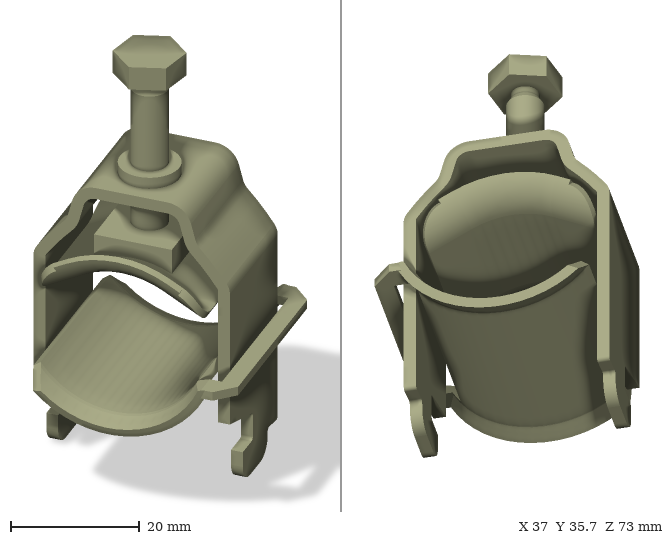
import cadquery as cq
import math


far = 145.9
near = 0.1

sheet = 2.0
bracket_half_width = 16.4
bracket_front = -7.5
bracket_back = 12.5
bracket_top = 51.2
top_half_width = 9.1
neck_half_width = 10.9
neck_z = 44.65
shoulder_z = 37.9
shoulder_bulge = 0.2
top_bend_radius = 4.1
bend_radius = 1.5 * sheet

collar_diameter = 9.9
collar_height = 2.0

hook_back = 8.3
hook_front = -2.1
hook_radius = 3.1
hook_tip_z = 5.7
slot_back = 2.1
slot_top_z = 10.5
slot_top_radius = 0.7
slot_bottom_radius = 0.5
front_corner_z = 13.6
heel_outer_z = 3.8
heel_inner_z = 4.45
heel_radius = 0.6

bolt_diameter = 6.0
bolt_top = 72.95
head_height = 4.0
head_across_flats = 10.0
head_turn = 78
neck_diameter = 4.5
neck_height = 1.0
taper_height = 1.3

pad_length = 13.0
pad_width = 14.0
pad_top = 42.5
saddle_thickness = 1.2
saddle_bottom = 38.5
crown_radius = 13.85
flank_angle = 28
flank_length = 7.65
rim_bend_start = 8.5
rim_bend_radius = 5.55
rim_bend_angle = 75
plate_corner_radius = 5.25

trough_thickness = 1.5
trough_radius = 15.5
trough_center_z = 31.6
trough_length = 35.7
flare_start = 14.8
flare_angle = 20
flare_inner_bend = 0.4
trough_end_angle = 36.5
corner_bevel = 3.35
yoke_top = 25.0
yoke_end = 20.6
yoke_start = 14.2
yoke_half_width = 17.5
yoke_chamfer = 3.1
lip_start = 15.6
lip_angle = 18
window_half_width = 13.9
window_end = 17.65


def fillet_level(body, direction, z, radius):
    """Round the edges parallel to the given axis that lie at height z."""
    level = cq.selectors.BoxSelector((-far, -far, z - near), (far, far, z + near))
    return body.edges("|" + direction).edges(level).fillet(radius)


def arch_strip():
    """Bent strip of constant thickness, open at the foot."""
    slope_x = bracket_half_width - neck_half_width
    slope_z = neck_z - shoulder_z
    slope_length = math.hypot(slope_x, slope_z)
    bow_x = (bracket_half_width + neck_half_width) / 2 + shoulder_bulge * slope_z / slope_length
    bow_z = (shoulder_z + neck_z) / 2 + shoulder_bulge * slope_x / slope_length
    depth = bracket_back - bracket_front
    outer = (
        cq.Workplane("XZ", origin=(0, bracket_back, 0))
        .moveTo(bracket_half_width, -sheet)
        .lineTo(bracket_half_width, shoulder_z)
        .threePointArc((bow_x, bow_z), (neck_half_width, neck_z))
        .lineTo(top_half_width, bracket_top)
        .lineTo(-top_half_width, bracket_top)
        .lineTo(-neck_half_width, neck_z)
        .threePointArc((-bow_x, bow_z), (-bracket_half_width, shoulder_z))
        .lineTo(-bracket_half_width, -sheet)
        .close()
        .extrude(depth)
    )
    outer = fillet_level(outer, "Y", bracket_top, top_bend_radius)
    outer = fillet_level(outer, "Y", neck_z, bend_radius)
    outer = fillet_level(outer, "Y", shoulder_z, bend_radius)
    inner = outer.faces("<Y").wires().toPending().offset2D(-sheet).extrude(-depth, combine=False)
    return outer.cut(inner)


def leg_outline():
    """Side outline of the bracket with its hook, as a block across both legs."""
    points = [
        (bracket_back, bracket_top),
        (bracket_back, heel_outer_z),
        (hook_back, heel_inner_z),
        (hook_back, 0),
        (hook_front, 0),
        (hook_front, hook_tip_z),
        (slot_back, hook_tip_z),
        (slot_back, slot_top_z),
        (bracket_front, front_corner_z),
        (bracket_front, bracket_top),
    ]
    block = cq.Workplane("YZ").polyline(points).close().extrude(bracket_half_width, both=True)
    block = fillet_level(block, "X", 0, hook_radius)
    block = fillet_level(block, "X", heel_outer_z, heel_radius)
    block = fillet_level(block, "X", heel_inner_z, heel_radius)
    block = fillet_level(block, "X", slot_top_z, slot_top_radius)
    slot_corner = cq.selectors.NearestToPointSelector((0, slot_back, hook_tip_z))
    return block.edges("|X").edges(slot_corner).fillet(slot_bottom_radius)


def make_bracket():
    body = arch_strip().intersect(leg_outline())
    collar = (
        cq.Workplane(origin=(0, 0, bracket_top))
        .circle(collar_diameter / 2)
        .extrude(collar_height)
    )
    bolt_hole = (
        cq.Workplane(origin=(0, 0, bracket_top - 2 * sheet))
        .circle(bolt_diameter / 2)
        .extrude(2 * sheet + collar_height)
    )
    return body.union(collar).cut(bolt_hole)


def make_bolt():
    head_z = bolt_top - head_height
    neck_z0 = head_z - neck_height
    taper_z = neck_z0 - taper_height
    half_section = [
        (0, pad_top),
        (bolt_diameter / 2, pad_top),
        (bolt_diameter / 2, taper_z),
        (neck_diameter / 2, neck_z0),
        (neck_diameter / 2, head_z),
        (0, head_z),
    ]
    shank = cq.Workplane("XZ").polyline(half_section).close().revolve(360, (0, 0), (0, 1))
    corner_diameter = head_across_flats / math.cos(math.pi / 6)
    head = (
        cq.Workplane(origin=(0, 0, head_z))
        .polygon(6, corner_diameter)
        .extrude(head_height)
        .rotate((0, 0, 0), (0, 0, 1), head_turn)
    )
    return shank.union(head)


def sheet_section():
    """Section of the saddle plate across the cable axis, with its upturned rim on the +Y side."""
    bend_z = saddle_bottom + rim_bend_radius

    def on_bend(radius, angle):
        turn = math.radians(angle)
        return (rim_bend_start + radius * math.sin(turn), bend_z - radius * math.cos(turn))

    outer = rim_bend_radius
    inner = rim_bend_radius - saddle_thickness
    return (
        cq.Workplane("YZ")
        .moveTo(0, saddle_bottom)
        .lineTo(rim_bend_start, saddle_bottom)
        .threePointArc(on_bend(outer, rim_bend_angle / 2), on_bend(outer, rim_bend_angle))
        .lineTo(*on_bend(inner, rim_bend_angle))
        .threePointArc(on_bend(inner, rim_bend_angle / 2), on_bend(inner, 0))
        .lineTo(0, saddle_bottom + saddle_thickness)
        .close()
    )


def plate_corner():
    """Waste outside the rounded corner of a flank, cut square to the sheet halfway up the bend."""
    turn = math.radians(rim_bend_angle / 2)
    inward_normal = (0, -math.sin(turn), math.cos(turn))
    bend_middle = (0, rim_bend_start, saddle_bottom + rim_bend_radius)
    plane = cq.Plane(origin=bend_middle, xDir=(1, 0, 0), normal=inward_normal)
    inner_radius = rim_bend_radius - saddle_thickness
    rim_edge = inner_radius * math.sin(turn)
    radius = plate_corner_radius
    corner = (
        cq.Workplane(plane)
        .center(flank_length - radius, rim_edge - radius)
        .rect(2 * radius, 2 * radius, centered=False)
        .extrude(-2 * radius)
    )
    rounding = (
        cq.Workplane(plane)
        .center(flank_length - radius, rim_edge - radius)
        .circle(radius)
        .extrude(-2 * radius)
    )
    return corner.cut(rounding)


def saddle_plate():
    """Plate with a rounded crown, two straight sloping flanks and both Y ends turned up."""
    center_z = saddle_bottom - crown_radius
    axis_start = (0, 0, center_z)
    axis_end = (0, 1, center_z)
    crown = sheet_section().revolve(flank_angle, (0, center_z), (1, center_z))
    flank = (
        sheet_section()
        .extrude(flank_length)
        .cut(plate_corner())
        .rotate(axis_start, axis_end, flank_angle)
    )
    quarter = crown.union(flank)
    half = quarter.union(quarter.mirror("XZ"))
    return half.union(half.mirror("YZ"))


def make_saddle():
    """Plate with the pressure pad that stands on its crown."""
    center_z = saddle_bottom - crown_radius
    pad = (
        cq.Workplane(origin=(0, 0, center_z))
        .rect(pad_length, pad_width)
        .extrude(pad_top - center_z)
    )
    below_crown = (
        cq.Workplane("XZ", origin=(0, 0, center_z))
        .circle(crown_radius + saddle_thickness)
        .extrude(pad_width, both=True)
    )
    return saddle_plate().union(pad.cut(below_crown))


def revolve_about_trough(points):
    """Revolve a (Y, radius) outline about the trough axis."""
    plane = cq.Workplane("YZ", origin=(0, 0, trough_center_z))
    return plane.polyline(points).close().revolve(360, (0, 0), (1, 0))


def mirrored_ends(half):
    """Complete a (Y, radius) outline with its mirror image at -Y."""
    return half + [(-y, radius) for y, radius in reversed(half)]


def flared_ring():
    """Complete tube with flared ends, and the solid core that fills it."""
    flare = math.radians(flare_angle)
    end_y = trough_length / 2
    end_radius = trough_radius + (end_y - flare_start) * math.tan(flare)
    inner = [(flare_start, trough_radius), (end_y, end_radius)]
    outer = [
        (flare_start - trough_thickness * math.tan(flare / 2), trough_radius + trough_thickness),
        (end_y - trough_thickness * math.sin(flare), end_radius + trough_thickness * math.cos(flare)),
    ]
    core = revolve_about_trough(mirrored_ends([(end_y, 0), inner[1], inner[0]]))
    envelope = revolve_about_trough(mirrored_ends([(end_y, 0), inner[1], outer[1], outer[0]]))
    core_bends = cq.selectors.RadiusNthSelector(0)
    core = core.edges("%CIRCLE").edges(core_bends).fillet(flare_inner_bend + trough_thickness)
    envelope_bends = cq.selectors.BoxSelector((-far, -flare_start, -far), (far, flare_start, far))
    envelope = envelope.edges("%CIRCLE").edges(envelope_bends).fillet(flare_inner_bend)
    return envelope, core


def side_wedge(side, length):
    """Sector above the trough's side edge, out to one side in X."""
    reach = 2 * trough_radius
    drop = reach * math.tan(math.radians(trough_end_angle))
    return (
        cq.Workplane("XZ", origin=(0, 0, trough_center_z))
        .polyline([(0, 0), (side * reach, -drop), (side * reach, reach), (0, reach)])
        .close()
        .extrude(length / 2, both=True)
    )


def corner_cut(end):
    """Bevel across one free corner of the trough, cut radially; its second axis runs down the arc."""
    slope = math.radians(trough_end_angle)
    radial = (-math.cos(slope), 0, -math.sin(slope))
    plane = cq.Plane(origin=(0, 0, trough_center_z), xDir=(0, 1, 0), normal=radial)
    along_edge = end * trough_length / 2
    bevel_start = along_edge - end * corner_bevel
    return (
        cq.Workplane(plane)
        .polyline([(bevel_start, 0), (along_edge, 0), (along_edge, corner_bevel)])
        .close()
        .extrude(2 * trough_radius)
    )


def yoke():
    """Flat U-shaped loop that passes around the bracket leg."""
    plate = (
        cq.Workplane(origin=(0, 0, yoke_top - trough_thickness))
        .moveTo((yoke_start + yoke_end) / 2, 0)
        .rect(yoke_end - yoke_start, 2 * yoke_half_width)
        .extrude(trough_thickness)
        .edges("|Z and >X")
        .chamfer(yoke_chamfer)
    )
    window = (
        cq.Workplane()
        .moveTo(window_end / 2, 0)
        .rect(window_end, 2 * window_half_width)
        .extrude(far)
    )
    return plate.cut(window)


def lip_cut():
    """Wedge that eases the yoke's top face down into the trough."""
    drop = lip_start * math.tan(math.radians(lip_angle))
    return (
        cq.Workplane("XZ", origin=(0, 0, yoke_top))
        .polyline([(lip_start, 0), (0, 0), (0, -drop)])
        .close()
        .extrude(trough_length, both=True)
    )


def make_trough():
    envelope, core = flared_ring()
    above_yoke = (
        cq.Workplane(origin=(0, 0, yoke_top))
        .rect(far, far)
        .extrude(far)
    )
    shell = envelope.cut(core).cut(above_yoke)
    shell = shell.cut(side_wedge(-1, 2 * trough_length))
    shell = shell.cut(side_wedge(1, 2 * window_half_width))
    for end in (-1, 1):
        shell = shell.cut(corner_cut(end))
    return shell.union(yoke().cut(core)).cut(lip_cut())


bracket = make_bracket()
bolt = make_bolt()
saddle = make_saddle()
trough = make_trough()

result = cq.Compound.makeCompound([body.solids().val() for body in (bracket, bolt, saddle, trough)])